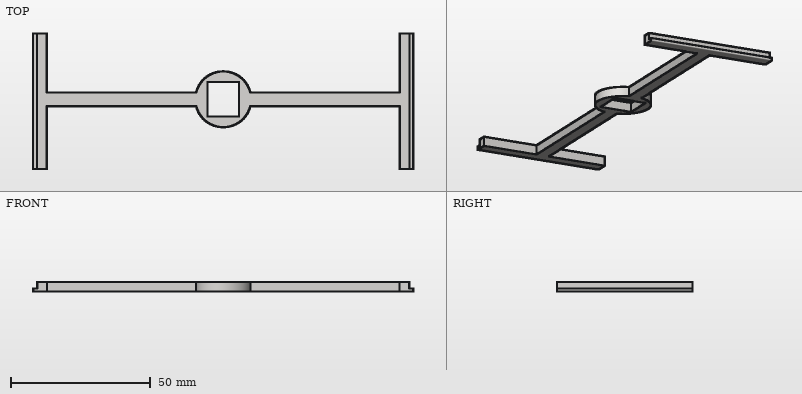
import cadquery as cq

length = 136.2
bar_length = 48.6
thickness = 3.5

bar_width = 5.0
lip_width = 1.5
lip_thickness = 1.2
lip_edge_radius = 0.3
bar_offset = -0.7

arm_width = 5.0
hub_diameter = 20.1
window_length = 11.1
window_width = 12.3


def end_bar(side):
    """L-section cross bar with its lip facing outward; side is -1 or +1 along X."""
    outer = side * length / 2
    shoulder = side * (length / 2 - lip_width)
    inner = side * (length / 2 - bar_width)
    section = [
        (outer, 0),
        (outer, lip_thickness),
        (shoulder, lip_thickness),
        (shoulder, thickness),
        (inner, thickness),
        (inner, 0),
    ]
    return (
        cq.Workplane("XZ")
        .polyline(section)
        .close()
        .extrude(bar_length / 2, both=True)
        .translate((0, bar_offset, 0))
    )


def arm():
    """Straight strip joining the inner faces of the two cross bars."""
    arm_length = length - 2 * bar_width
    return cq.Workplane("XY").rect(arm_length, arm_width).extrude(thickness)


def hub():
    """Round disc at the middle of the arm."""
    return cq.Workplane("XY").circle(hub_diameter / 2).extrude(thickness)


def window():
    """Rectangular opening through the hub."""
    return cq.Workplane("XY").rect(window_length, window_width).extrude(thickness)


rounded_bar = end_bar(-1).faces("<X").edges("|Y").fillet(lip_edge_radius)
sharp_bar = end_bar(1)

result = arm().union(hub()).union(rounded_bar).union(sharp_bar).cut(window())